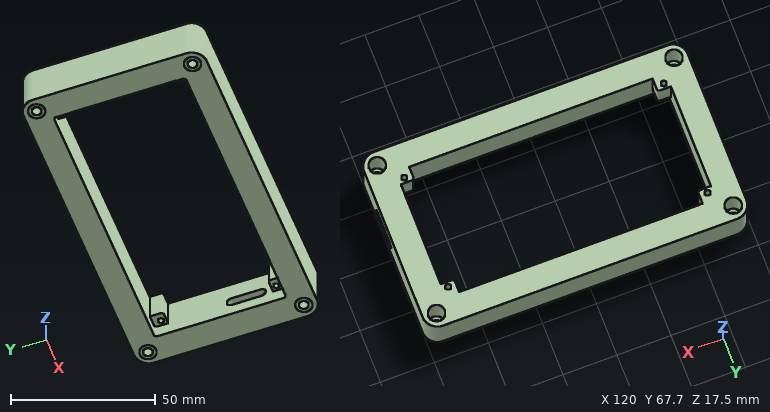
import cadquery as cq

LENGTH = 120.0
WIDTH = 67.7
HEIGHT = 17.5
OUTER_RADIUS = 5.5

WINDOW_LENGTH = 100.0
WINDOW_WIDTH = 48.6
WINDOW_CENTER_X = -0.2
WINDOW_RADIUS = 1.0

POST_SIDE = 4.9
POST_HEIGHT = 11.8
POST_RADIUS = 1.0
POST_HOLE_DIAMETER = 2.0
POST_HOLE_INSET_X = 1.9
POST_HOLE_INSET_Y = 3.0

CORNER_HOLE_DIAMETER = 6.0
CORNER_HOLE_INSET = 5.0
SLEEVE_BORE = 3.4
SLEEVE_HEIGHT = 4.8

SLOT_LENGTH = 14.4
SLOT_HEIGHT = 4.0
SLOT_CENTER_Y = -9.5
SLOT_CENTER_Z = 7.2

CORNER_SIGNS = [(sx, sy) for sx in (-1, 1) for sy in (-1, 1)]
CORNER_HOLE_POINTS = [
    (sx * (LENGTH / 2 - CORNER_HOLE_INSET), sy * (WIDTH / 2 - CORNER_HOLE_INSET))
    for sx, sy in CORNER_SIGNS
]


def window_corner(sx, sy, inset_x=0.0, inset_y=0.0):
    """Point at a window corner, moved inward by the given insets."""
    x = WINDOW_CENTER_X + sx * (WINDOW_LENGTH / 2 - inset_x)
    y = sy * (WINDOW_WIDTH / 2 - inset_y)
    return x, y


POST_HOLE_POINTS = [
    window_corner(sx, sy, POST_HOLE_INSET_X, POST_HOLE_INSET_Y) for sx, sy in CORNER_SIGNS
]


def make_post(sx, sy):
    """Square post overlapping the frame corner, with its free vertical edge rounded."""
    block_side = 2 * POST_SIDE
    return (
        cq.Workplane("XY", origin=(0, 0, HEIGHT - POST_HEIGHT))
        .center(*window_corner(sx, sy))
        .rect(block_side, block_side)
        .extrude(POST_HEIGHT)
        .edges("|Z")
        .fillet(POST_RADIUS)
    )


def make_slot_cutter():
    """Horizontal slot with round ends, reaching through the +X wall."""
    return (
        cq.Workplane("YZ", origin=(WINDOW_LENGTH / 2 - POST_SIDE / 2, SLOT_CENTER_Y, SLOT_CENTER_Z))
        .slot2D(SLOT_LENGTH, SLOT_HEIGHT)
        .extrude(LENGTH / 2)
    )


def make_frame():
    """Rectangular frame with corner posts, all its holes and the wall slot."""
    window = (
        cq.Workplane("XY")
        .center(WINDOW_CENTER_X, 0)
        .rect(WINDOW_LENGTH, WINDOW_WIDTH)
        .extrude(HEIGHT)
        .edges("|Z")
        .fillet(WINDOW_RADIUS)
    )
    body = (
        cq.Workplane("XY")
        .rect(LENGTH, WIDTH)
        .extrude(HEIGHT)
        .edges("|Z")
        .fillet(OUTER_RADIUS)
        .cut(window)
    )
    for sx, sy in CORNER_SIGNS:
        body = body.union(make_post(sx, sy))

    corner_holes = (
        cq.Workplane("XY").pushPoints(CORNER_HOLE_POINTS).circle(CORNER_HOLE_DIAMETER / 2).extrude(HEIGHT)
    )
    post_holes = (
        cq.Workplane("XY", origin=(0, 0, HEIGHT - POST_HEIGHT))
        .pushPoints(POST_HOLE_POINTS)
        .circle(POST_HOLE_DIAMETER / 2)
        .extrude(POST_HEIGHT)
    )
    return body.cut(corner_holes).cut(post_holes).cut(make_slot_cutter())


def make_sleeve(x, y):
    """Plain sleeve that fills the lower end of one corner hole."""
    return (
        cq.Workplane("XY")
        .center(x, y)
        .circle(CORNER_HOLE_DIAMETER / 2)
        .circle(SLEEVE_BORE / 2)
        .extrude(SLEEVE_HEIGHT)
    )


frame = make_frame()
sleeves = [make_sleeve(x, y) for x, y in CORNER_HOLE_POINTS]

result = cq.Compound.makeCompound([frame.val(), *[sleeve.val() for sleeve in sleeves]])